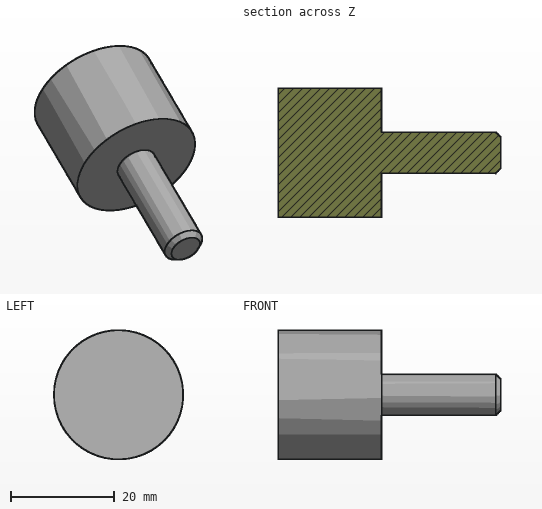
import cadquery as cq

total_length = 43.0
head_diameter = 25.0
head_length = 20.0
stud_diameter = 8.0
tip_chamfer = 1.0

stud_length = total_length - head_length

head = cq.Workplane("YZ").circle(head_diameter / 2).extrude(head_length)

stud = (
    cq.Workplane("YZ")
    .workplane(offset=head_length)
    .circle(stud_diameter / 2)
    .extrude(stud_length)
    .faces(">X")
    .chamfer(tip_chamfer)
)

result = head.union(stud)